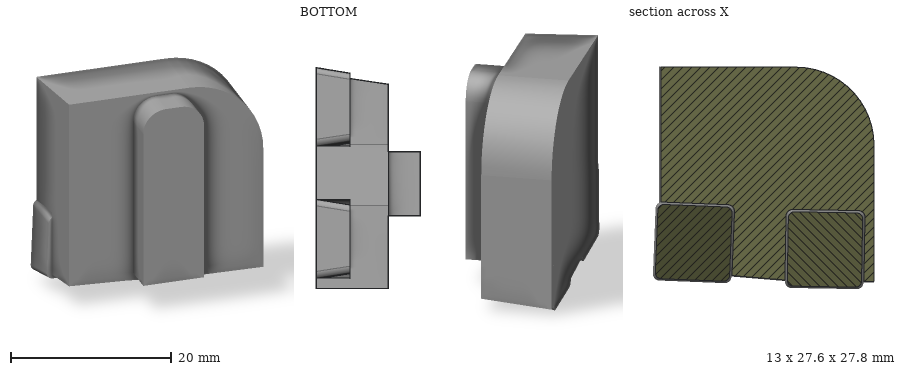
import cadquery as cq
import math

holder_width = 9.0
holder_depth = 26.9
holder_top = 27.8
back_corner_radius = 9.8
front_relief_angle = 8.5
bottom_relief_angle = 4.8

heel_height = 0.8
heel_kink = (16.55, 0.95)
toe_kink = (8.9, 1.58)
toe_height = 1.97

key_thickness = 4.0
key_width = 8.0
key_height = 24.02
key_corner_radius = 3.0
key_center_y = 13.8
key_bottom = 3.28

insert_side = 9.8
insert_thickness = 4.25
insert_corner_radius = 0.8
insert_relief_angle = 9.0
insert_places = [
    (20.75, 4.98, -1.0),
    (4.35, 5.8, -2.3),
]


def rise(length, angle):
    """Sideways shift of a face that leans by angle over a length along X."""
    return length * math.tan(math.radians(angle))


def square_outline(side):
    """Round-cornered square in the YZ plane, centered on the origin."""
    return cq.Sketch().rect(side, side).vertices().fillet(insert_corner_radius)


def place(shape, center_y, center_z, rotation):
    """Turn a shape about the X axis and move it to its seat."""
    return shape.rotate((0, 0, 0), (1, 0, 0), rotation).translate((0, center_y, center_z))


def make_insert():
    inner_side = insert_side - 2 * rise(insert_thickness, insert_relief_angle)
    return cq.Workplane("YZ").placeSketch(
        square_outline(insert_side),
        square_outline(inner_side).moved(cq.Location(cq.Vector(0, 0, insert_thickness))),
    ).loft()


def make_pocket():
    """Straight-walled seat with the outline of the insert's outer face."""
    return cq.Workplane("YZ").placeSketch(square_outline(insert_side)).extrude(insert_thickness)


def make_block():
    return (
        cq.Workplane("YZ")
        .rect(holder_depth, holder_top, centered=False)
        .extrude(holder_width)
        .edges("|X and >Y and >Z")
        .fillet(back_corner_radius)
    )


def front_relief():
    """Wedge that makes the front face lean back toward the right side."""
    return (
        cq.Workplane("XY")
        .polyline([(0, 0), (holder_width, 0), (holder_width, rise(holder_width, front_relief_angle))])
        .close()
        .extrude(holder_top)
    )


def bottom_relief():
    """Slanted prism under the kinked underside, rising toward the right side."""
    bottom_rise = rise(holder_width, bottom_relief_angle)
    outline = [
        (holder_depth, -bottom_rise),
        (holder_depth, heel_height),
        heel_kink,
        toe_kink,
        (0, toe_height),
        (0, -bottom_rise),
    ]
    wire = cq.Wire.makePolygon([cq.Vector(0, y, z) for y, z in outline], close=True)
    return cq.Solid.extrudeLinear(wire, [], cq.Vector(holder_width, 0, bottom_rise))


def make_key():
    return (
        cq.Workplane("YZ", origin=(holder_width, key_center_y, key_bottom))
        .rect(key_width, key_height, centered=(True, False))
        .extrude(key_thickness)
        .edges("|X and >Z")
        .fillet(key_corner_radius)
    )


holder = make_block().cut(front_relief()).cut(cq.Workplane(bottom_relief())).union(make_key())
for seat in insert_places:
    holder = holder.cut(place(make_pocket(), *seat))

inserts = [place(make_insert(), *seat) for seat in insert_places]

result = cq.Compound.makeCompound([holder.val(), *[insert.val() for insert in inserts]])